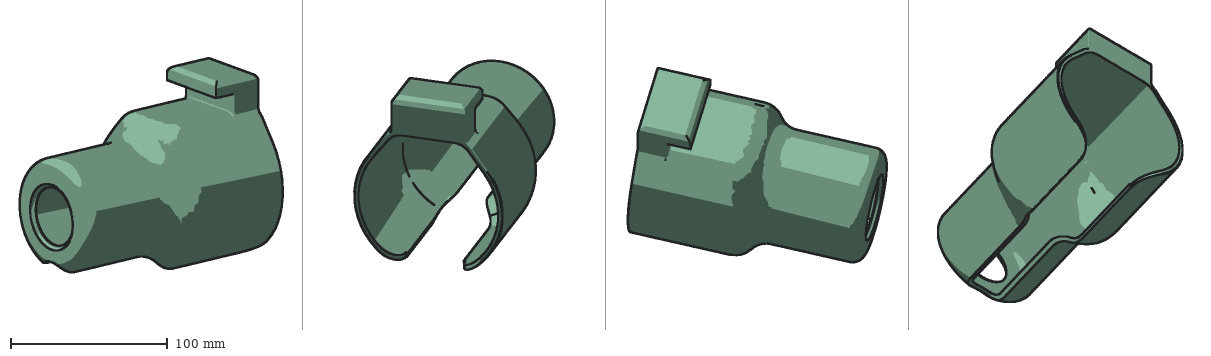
import cadquery as cq
import math

length = 150.0
wall = 3.0

hub_radius = 37.5
hub_nose_fillet = 8.0
flare_start = 60.0

barrel_radius = 50.0
barrel_corner_radius = 15.0
flat_angle = math.atan2(3, 4)
shoulder_radius = 15.0

hole_radius = 19.0
hole_lip_fillet = 2.5

notch_radius = 20.0
notch_mouth_radius = 15.0

hook_width = barrel_radius
hook_top = 72.9
hook_reach = 35.1
hook_plate_thickness = 10.0
hook_stem_depth = 20.0
hook_top_fillet = 5.0
hook_foot_radius = 5.0
hook_edge_fillet = 1.0
stem_y = length - hook_stem_depth

rear_edge_fillet = 0.5

gap = 0.2


def barrel_prism(inset):
    """Barrel section moved inward by inset, extruded along the whole length."""
    radius = barrel_radius - inset
    tangent_x = radius * math.cos(flat_angle)
    tangent_z = radius * math.sin(flat_angle)
    return (
        cq.Workplane("XZ")
        .moveTo(tangent_x, tangent_z)
        .lineTo(radius / 2, radius)
        .lineTo(-radius / 2, radius)
        .lineTo(-tangent_x, tangent_z)
        .threePointArc((0, -radius), (tangent_x, tangent_z))
        .close()
        .extrude(-length)
        .faces(">Z")
        .edges("|Y")
        .fillet(barrel_corner_radius - inset)
    )


def flared_hub(inset):
    """Turned hub that flares outward with a concave arc until it is wider than the barrel."""
    radius = hub_radius - inset
    arc_radius = shoulder_radius + inset
    rim_radius = hub_radius + shoulder_radius
    rim_y = flare_start + arc_radius
    clear_radius = 2 * barrel_radius
    diagonal = arc_radius * math.sqrt(0.5)
    return (
        cq.Workplane("XY")
        .moveTo(0, inset)
        .lineTo(radius, inset)
        .lineTo(radius, flare_start)
        .threePointArc((rim_radius - diagonal, flare_start + diagonal), (rim_radius, rim_y))
        .lineTo(clear_radius, rim_y)
        .lineTo(clear_radius, length)
        .lineTo(0, length)
        .close()
        .revolve(360, (0, 0, 0), (0, 1, 0))
    )


def housing(inset):
    """Solid housing, moved inward by inset, with rounded shoulder and nose."""
    solid = barrel_prism(inset).intersect(flared_hub(inset))
    reach = 2 * barrel_radius
    rim_end = flare_start + shoulder_radius + inset
    rim = cq.selectors.BoxSelector(
        (-reach, flare_start + gap, -reach),
        (reach, rim_end + gap, reach),
    )
    solid = solid.edges(rim).edges("not(|Y)").fillet(shoulder_radius - inset)
    return solid.faces("<Y").edges().fillet(hub_nose_fillet - inset)


def hook_stem():
    """Upright of the hook, its sides sweeping out to meet the rounded barrel corners."""
    half = hook_width / 2
    corner_x = barrel_radius / 2 - barrel_corner_radius / 2
    corner_z = barrel_radius - barrel_corner_radius
    centre_gap = barrel_corner_radius + hook_foot_radius
    foot_x = half + hook_foot_radius
    foot_z = corner_z + math.sqrt(centre_gap**2 - (foot_x - corner_x) ** 2)
    share = barrel_corner_radius / centre_gap
    end_x = corner_x + share * (foot_x - corner_x)
    end_z = corner_z + share * (foot_z - corner_z)
    plate_z = hook_top - hook_plate_thickness / 2
    return (
        cq.Workplane("XZ", origin=(0, length, 0))
        .moveTo(-half, plate_z)
        .lineTo(half, plate_z)
        .lineTo(half, foot_z)
        .radiusArc((end_x, end_z), -hook_foot_radius)
        .lineTo(-end_x, end_z)
        .radiusArc((-half, foot_z), -hook_foot_radius)
        .close()
        .extrude(hook_stem_depth)
    )


def hook_plate():
    """Overhanging plate of the hook with a rounded top rim."""
    return (
        cq.Workplane("XY", origin=(0, length - hook_reach / 2, hook_top - hook_plate_thickness))
        .box(hook_width, hook_reach, hook_plate_thickness, centered=(True, True, False))
        .faces(">Z")
        .edges()
        .fillet(hook_top_fillet)
    )


def notch():
    """Round channel along the underside, its mouth rounded outward at the rear."""
    channel = (
        cq.Workplane("XZ", origin=(0, 0, -barrel_radius))
        .circle(notch_radius)
        .extrude(-length)
    )
    mouth_half = notch_radius + notch_mouth_radius
    mouth_start = length - notch_mouth_radius
    mouth = (
        cq.Workplane("XY", origin=(0, 0, -barrel_radius))
        .moveTo(-notch_radius, mouth_start)
        .lineTo(notch_radius, mouth_start)
        .radiusArc((mouth_half, length), notch_mouth_radius)
        .lineTo(-mouth_half, length)
        .radiusArc((-notch_radius, mouth_start), notch_mouth_radius)
        .close()
        .extrude(barrel_radius)
    )
    return channel.union(mouth)


def hook():
    """Hook with softened edges around its throat."""
    solid = hook_plate().union(hook_stem())
    underside_z = hook_top - hook_plate_thickness
    throat = cq.selectors.BoxSelector(
        (-hook_width, 0, barrel_radius - wall),
        (hook_width, stem_y + gap, underside_z + gap),
    )
    return solid.edges(throat).edges("not(<Z)").fillet(hook_edge_fillet)


def soften_stem_foot(solid):
    """Fillet the line where the front of the hook stem stands on the barrel."""
    foot = cq.selectors.BoxSelector(
        (-hook_width, stem_y - gap, barrel_radius - gap),
        (hook_width, stem_y + gap, barrel_radius + gap),
    )
    return solid.edges(foot).edges("|X").fillet(hook_edge_fillet)


def front_hole():
    """Cutter for the round opening through the front wall, with a rounded outer lip."""
    outer_radius = hole_radius + hole_lip_fillet
    return (
        cq.Workplane("XY")
        .lineTo(outer_radius, 0)
        .radiusArc((hole_radius, hole_lip_fillet), -hole_lip_fillet)
        .lineTo(hole_radius, 2 * wall)
        .lineTo(0, 2 * wall)
        .close()
        .revolve(360, (0, 0, 0), (0, 1, 0))
    )


body = soften_stem_foot(housing(0).union(hook()))
body = body.faces(">Y").edges("not(>Z)").fillet(rear_edge_fillet)
result = body.cut(housing(wall)).cut(front_hole()).cut(notch())